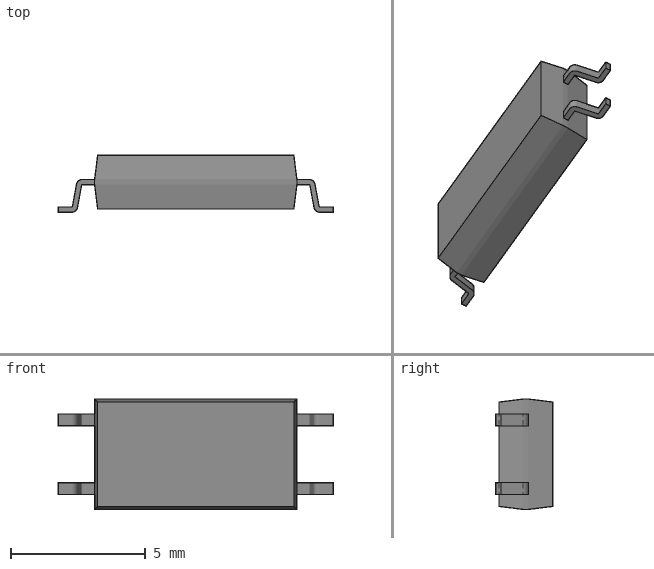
import cadquery as cq
import math

body_length = 7.51
body_height = 4.1
body_back = 2.12
body_front = 0.12
draft_inset = 0.11

overall_length = 10.2
lead_thickness = 0.2
lead_width = 0.44
lead_pitch = 2.55
lead_embed = 0.2
foot_length = 0.52
leg_angle = 10.4
outer_bend_radius = 0.22
inner_bend_radius = 0.02

band_front = (body_front + body_back - lead_thickness) / 2
band_back = band_front + lead_thickness
half_depth = body_back - band_back
draft_angle = math.degrees(math.atan(draft_inset / half_depth))


def body_slab(start, depth, taper=0.0):
    """Body section starting at Y = start; a negative depth extrudes toward -Y."""
    direction = math.copysign(1, depth)
    plane = cq.Plane(origin=(0, start, 0), xDir=(1, 0, 0), normal=(0, direction, 0))
    return cq.Workplane(plane).rect(body_length, body_height).extrude(abs(depth), taper=taper)


def left_lead(z_center):
    """One lead leaving the -X end of the body, its foot pointing toward -X."""
    tip = -overall_length / 2
    root = -body_length / 2 + lead_embed
    slope = math.tan(math.radians(leg_angle))

    def outer_leg_x(y):
        return tip + foot_length + (y - lead_thickness) * slope

    def inner_leg_x(y):
        return outer_leg_x(y) + lead_thickness

    heel = (inner_leg_x(0), 0)
    inner_shoulder = (inner_leg_x(band_front), band_front)
    outer_shoulder = (outer_leg_x(band_back), band_back)
    inner_heel = (outer_leg_x(lead_thickness), lead_thickness)
    profile = [
        (tip, 0),
        heel,
        inner_shoulder,
        (root, band_front),
        (root, band_back),
        outer_shoulder,
        inner_heel,
        (tip, lead_thickness),
    ]
    z_bottom = z_center - lead_width / 2
    lead = cq.Workplane("XY", origin=(0, 0, z_bottom)).polyline(profile).close().extrude(lead_width)

    bends = (
        (heel, outer_bend_radius),
        (outer_shoulder, outer_bend_radius),
        (inner_heel, inner_bend_radius),
        (inner_shoulder, inner_bend_radius),
    )
    for (x, y), radius in bends:
        corner = cq.selectors.NearestToPointSelector((x, y, z_center))
        lead = lead.edges("|Z").edges(corner).fillet(radius)
    return lead


result = body_slab(band_front, lead_thickness)
result = result.union(body_slab(band_back, half_depth, draft_angle))
result = result.union(body_slab(band_front, -half_depth, draft_angle))

for z_center in (-lead_pitch / 2, lead_pitch / 2):
    lead = left_lead(z_center)
    result = result.union(lead).union(lead.mirror("YZ"))